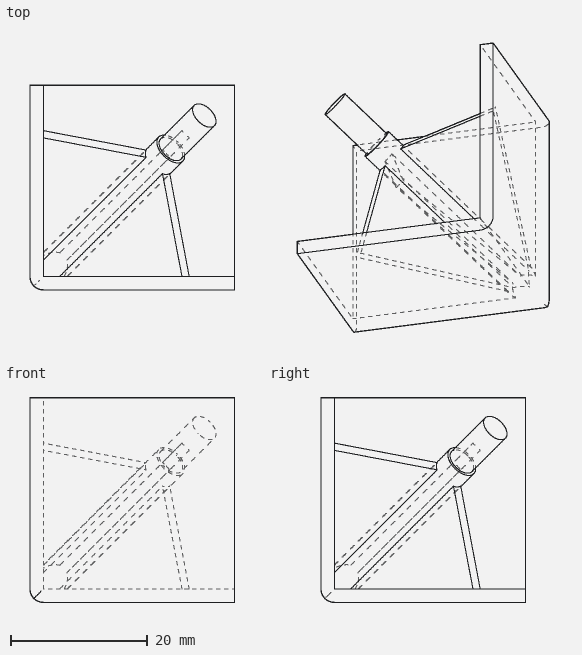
import cadquery as cq
import math

size = 30.0
wall = 2.0
edge_radius = 2.0

sleeve_diameter = 5.0
sleeve_length = 32.3
pin_diameter = 4.2
pin_length = 40.8

web_thickness = 1.5
web_apex = 30.3
web_slope = 15.0

inner_corner = cq.Vector(wall, wall, wall)
diagonal = cq.Vector(1, 1, 1).normalized()


def rounded_prism(axis):
    """Cube with its edge through the origin along one axis rounded."""
    cube = cq.Workplane("XY").box(size, size, size, centered=False)
    return cube.edges(f"|{axis}").edges("<(1,1,1)").fillet(edge_radius)


def make_cavity():
    """Space enclosed by the three walls, open on the far sides."""
    return cq.Workplane("XY", origin=inner_corner.toTuple()).box(size, size, size, centered=False)


def make_corner():
    body = rounded_prism("X")
    for axis in "YZ":
        body = body.intersect(rounded_prism(axis))
    return body.cut(make_cavity())


def make_rod(diameter, length):
    plane = cq.Plane(inner_corner, normal=diagonal)
    rod = cq.Workplane(plane).circle(diameter / 2).extrude(length)
    return rod.intersect(make_cavity())


def make_web(wall_normal):
    """Triangular plate in the plane of the rod axis and a wall normal."""
    apex_rise = web_apex * diagonal.dot(wall_normal)
    apex_reach = math.sqrt(web_apex**2 - apex_rise**2)
    foot_reach = apex_reach + apex_rise * math.tan(math.radians(web_slope))
    plate_normal = wall_normal.cross(diagonal)
    plane = cq.Plane(inner_corner, xDir=wall_normal, normal=plate_normal)
    outline = [(0, 0), (apex_rise, apex_reach), (0, foot_reach)]
    return cq.Workplane(plane).polyline(outline).close().extrude(web_thickness / 2, both=True)


result = make_corner()
result = result.union(make_rod(sleeve_diameter, sleeve_length))
result = result.union(make_rod(pin_diameter, pin_length))
for direction in ((1, 0, 0), (0, 1, 0), (0, 0, 1)):
    result = result.union(make_web(cq.Vector(*direction)))